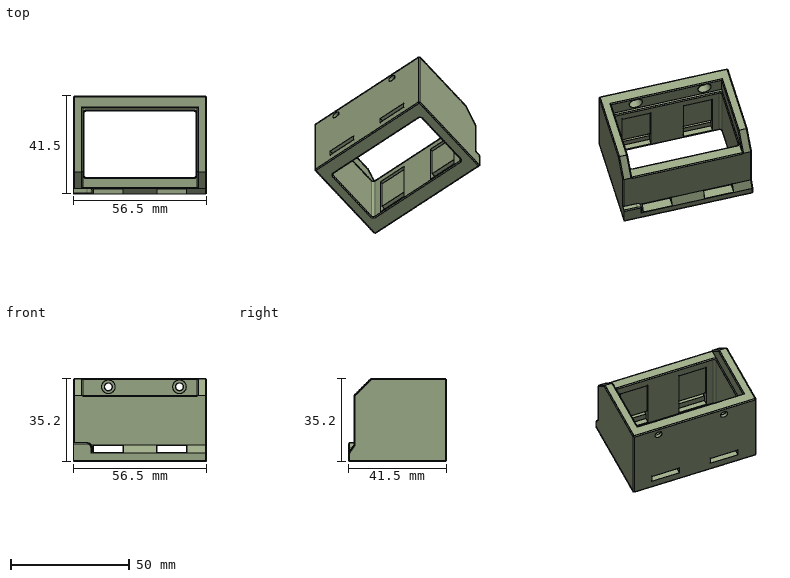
import cadquery as cq

length = 56.5
depth = 41.5
height = 35.2
edge_chamfer = 0.45
chamfer_angle = 45

wall_front = 2.25
lip_height = 3.75
lip_slope_top = 7.0
ledge_height = 28.05
bevel = height - ledge_height

pad_length = 7.85
pad_height = 8.0
pad_corner_radius = 2.0

recess_side_wall = 4.0
recess_back_wall = 5.05
opening_side_wall = recess_side_wall + edge_chamfer
opening_front = 7.0
opening_back = depth - 6.4
opening_radius = 1.0

window_width = 12.65
window_offset = 13.45
window_centers = (length / 2 - window_offset, length / 2 + window_offset)
window_bottom = 3.9
window_top = 6.85
pocket_bottom = 1.15
pocket_top = 24.0
panel_inset = 1.25
step_inset = 2.3

hole_centers = (14.85, 45.0)
hole_height = 31.7
hole_diameter = 3.2
counterbore_diameter = 5.75
counterbore_depth = 3.5

recess_right = length - recess_side_wall
recess_length = length - 2 * recess_side_wall
recess_back = depth - recess_back_wall
opening_length = length - 2 * opening_side_wall
opening_width = opening_back - opening_front


def box(x0, x1, y0, y1, z0, z1):
    """Box between two opposite corners."""
    return cq.Workplane("XY").box(x1 - x0, y1 - y0, z1 - z0, centered=False).translate((x0, y0, z0))


def edges_in(solid, corner_low, corner_high):
    """Edges of a solid whose centers lie between two corners."""
    return solid.edges(cq.selectors.BoxSelector(corner_low, corner_high))


def make_body():
    """Solid block with the side profile, chamfered on its outer edges."""
    block = (
        cq.Workplane("YZ")
        .moveTo(0, 0)
        .lineTo(depth, 0)
        .lineTo(depth, height)
        .lineTo(wall_front + bevel, height)
        .lineTo(wall_front, ledge_height)
        .lineTo(wall_front, lip_slope_top)
        .lineTo(0, lip_height)
        .close()
        .extrude(length)
    )
    long_edges = block.edges("|X and (>Y or (<Y and <Z))")
    return block.faces("<X or >X").edges().add(long_edges).chamfer(edge_chamfer)


def make_pad():
    """Pad that fills the left end of the lip."""
    pad = box(0, pad_length, 0, wall_front + edge_chamfer, 0, pad_height)
    pad = pad.edges("|Y and >X and >Z").fillet(pad_corner_radius)
    pad = pad.faces("<Y").edges("not(<X or <Z)").chamfer(edge_chamfer)
    return pad.faces("<Z").edges("<X or <Y").chamfer(edge_chamfer)


def cut_recess(body):
    """Cut the upper recess and break its rim, then the top front edge of the wall."""
    body = body.cut(box(recess_side_wall, recess_right, 0, recess_back, ledge_height, height))
    margin = 0.05
    slope_y = wall_front + bevel / 2
    slope_z = ledge_height + bevel / 2
    top_rim = edges_in(
        body,
        (recess_side_wall - margin, wall_front + bevel, height - margin),
        (recess_right + margin, recess_back + margin, height + margin),
    )
    slope_rims = edges_in(
        body,
        (recess_side_wall - margin, slope_y - margin, slope_z - margin),
        (recess_right + margin, slope_y + margin, slope_z + margin),
    )
    body = top_rim.add(slope_rims).chamfer(edge_chamfer)
    wall_edge = (
        cq.Workplane("YZ", origin=(recess_side_wall, 0, 0))
        .moveTo(wall_front, ledge_height)
        .lineTo(wall_front + edge_chamfer, ledge_height)
        .lineTo(wall_front, ledge_height - edge_chamfer)
        .close()
        .extrude(recess_length)
    )
    return body.cut(wall_edge)


def opening_prism(bottom, rise, taper=0):
    """Rounded rectangular prism centered on the opening; a negative taper flares it."""
    center = (length / 2, (opening_front + opening_back) / 2, bottom)
    outline = cq.Sketch().rect(opening_length, opening_width).vertices().fillet(opening_radius)
    return cq.Workplane("XY", origin=center).placeSketch(outline).extrude(rise, taper=taper)


def cut_opening(body):
    """Cut the opening through the floor of the recess and chamfer both its rims."""
    body = body.cut(opening_prism(0, ledge_height))
    body = body.cut(opening_prism(ledge_height - edge_chamfer, edge_chamfer, -chamfer_angle))
    return body.cut(opening_prism(edge_chamfer, -edge_chamfer, -chamfer_angle))


def window_cutter(center):
    """Window through both walls, and the stepped pockets on their inner faces."""
    x0 = center - window_width / 2
    x1 = center + window_width / 2

    def pocket(inset, bottom, top):
        return box(x0, x1, opening_front - inset, opening_back + inset, bottom, top)

    window = box(x0, x1, 0, depth, window_bottom, window_top)
    upper_pocket = pocket(panel_inset, window_bottom, pocket_top)
    lower_pocket = pocket(step_inset, pocket_bottom, window_bottom)
    return window.union(upper_pocket).union(lower_pocket)


def screw_hole_cutter(center):
    """Through hole along Y, counterbored from the recess side."""
    plane = cq.Workplane("XZ", origin=(center, depth, hole_height))
    hole = plane.circle(hole_diameter / 2).extrude(recess_back_wall)
    counterbore = (
        cq.Workplane("XZ", origin=(center, recess_back + counterbore_depth, hole_height))
        .circle(counterbore_diameter / 2)
        .extrude(counterbore_depth)
    )
    return hole.union(counterbore)


result = make_body().union(make_pad())
result = cut_recess(result)
result = cut_opening(result)
for window_center in window_centers:
    result = result.cut(window_cutter(window_center))
for hole_center in hole_centers:
    result = result.cut(screw_hole_cutter(hole_center))